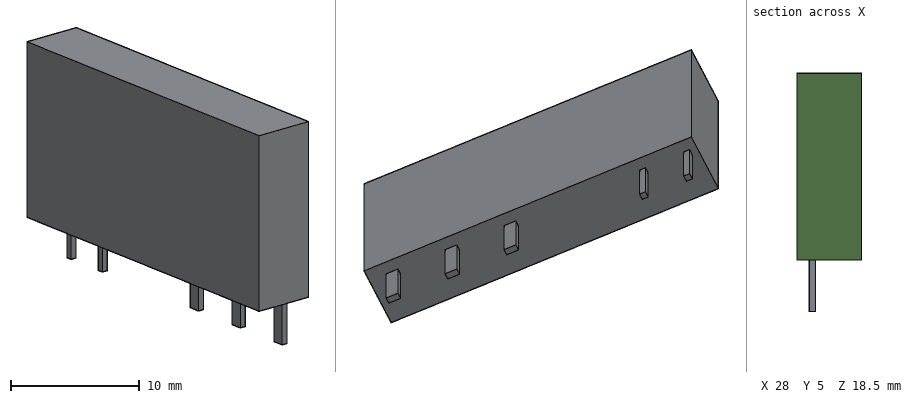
import cadquery as cq

body_length = 28.0
body_width = 5.0
body_height = 14.5

pin_length = 4.0
pin_thickness = 0.5
coil_pin_width = 0.5
contact_pin_width = 1.0
pin_row_inset = 1.2

first_pin_inset = 0.85
coil_pitch = 3.78
coil_to_contact_pitch = 11.35
contact_pitch = 5.05
contact_count = 3

pin_row_y = body_width / 2 - pin_row_inset
first_coil_x = -body_length / 2 + first_pin_inset
second_coil_x = first_coil_x + coil_pitch
first_contact_x = second_coil_x + coil_to_contact_pitch


def make_pin(center_x, width):
    """Rectangular pin hanging from the lower face of the housing."""
    return (
        cq.Workplane("XY")
        .center(center_x, pin_row_y)
        .rect(width, pin_thickness)
        .extrude(-pin_length)
    )


result = cq.Workplane("XY").rect(body_length, body_width).extrude(body_height)

for coil_x in (first_coil_x, second_coil_x):
    result = result.union(make_pin(coil_x, coil_pin_width))

for index in range(contact_count):
    contact_x = first_contact_x + index * contact_pitch
    result = result.union(make_pin(contact_x, contact_pin_width))